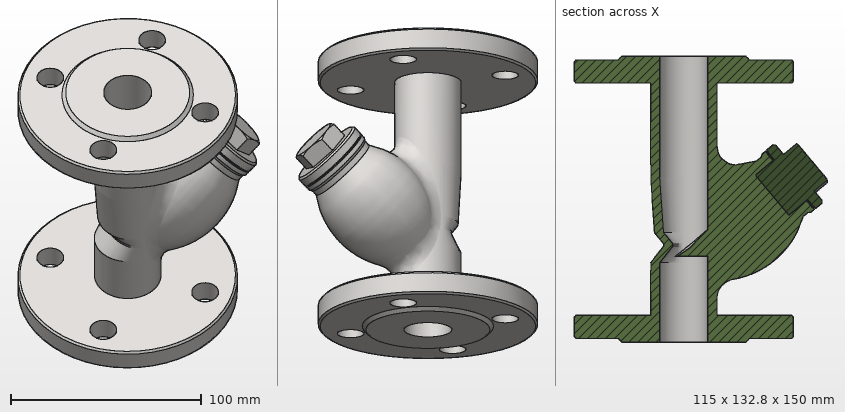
import cadquery as cq
import math

FACE_TO_FACE = 150.0
PIPE_D = 35.0
BORE_D = 25.0
FLANGE_D = 115.0
FLANGE_T = 12.3
RIM_CHAMFER = 1.0
RAISED_FACE_D = 65.0
RAISED_FACE_H = 2.0
BOLT_HOLE_D = 14.0
BOLT_CIRCLE_D = 85.0
BOLT_COUNT = 4
PIPE_R = PIPE_D / 2
WALL = (PIPE_D - BORE_D) / 2

WAIST = [(86.0, PIPE_R), (57.5, 15.5), (51.6, 10.6), (50.4, 10.6), (41.7, PIPE_R)]
WAIST_TOP = WAIST[0][0]
WAIST_BOTTOM = WAIST[-1][0]

DISH_APEX = (0, 3.2, 49.5)
DISH_HALF_ANGLE = 84.0
DISH_LENGTH = 45.0
PARTITION_BOTTOM = 45.0

BRANCH_ANGLE = 40.0
AXIS_HEIGHT = 38.2
ROOT_S, ROOT_R = 2.2, 12.0
NECK_S, NECK_R = 13.8, 19.0
BELLY_S, BELLY_R = 38.4, 27.0
COLLAR_S, COLLAR_R = 65.7, 19.0
COLLAR_END_S = 68.8
RIM_R = 20.0
RIM_S = 70.2
SEAT_S = 72.6
BRANCH_FILLET = 9.8

GASKET_T = 0.8
GASKET_D = 37.5
CAP_D = 40.0
CAP_FLANGE_T = 5.4
CAP_BEVEL = 1.0
SPIGOT_D = 27.0
SPIGOT_L = 12.0
HEX_SIDES = 6
HEX_AF = 24.0
HEX_H = 9.2
HEX_TURN = -17.7
HEX_BEVEL_H = 1.0

BRANCH_DIR = (0, math.cos(math.radians(BRANCH_ANGLE)), math.sin(math.radians(BRANCH_ANGLE)))

OUTER_END = cq.selectors.DirectionMinMaxSelector(cq.Vector(*BRANCH_DIR))


def branch_plane(distance):
    """Plane square to the branch axis, its origin `distance` along that axis."""
    origin = (0, distance * BRANCH_DIR[1], AXIS_HEIGHT + distance * BRANCH_DIR[2])
    return cq.Plane(origin=origin, xDir=(1, 0, 0), normal=BRANCH_DIR)


def z_cylinder(diameter, bottom, top):
    """Upright cylinder on the pipe axis."""
    return cq.Workplane("XY", origin=(0, 0, bottom)).circle(diameter / 2).extrude(top - bottom)


def front_half(bottom, top):
    """Block holding everything on the -Y side between two heights."""
    depth = PIPE_D
    block = cq.Workplane("XY", origin=(0, -depth / 2, bottom))
    return block.rect(2 * PIPE_D, depth).extrude(top - bottom)


def waist_loft(inset):
    """Ruled loft through the waist ellipses, all reduced by `inset`."""
    loft = cq.Workplane("XY", origin=(0, 0, WAIST[0][0]))
    previous = WAIST[0][0]
    for height, depth in WAIST:
        loft = loft.workplane(offset=height - previous).ellipse(PIPE_R - inset, depth - inset)
        previous = height
    return loft.loft(ruled=True)


def pinched(run, inset):
    """Give a round run the waist on its -Y side."""
    trimmed_off = front_half(WAIST_BOTTOM, WAIST_TOP).cut(waist_loft(inset))
    return run.cut(trimmed_off)


def make_flange():
    """End flange at the bottom, raised face downward at Z = 0."""
    flange_back = RAISED_FACE_H + FLANGE_T
    disc = z_cylinder(FLANGE_D, RAISED_FACE_H, flange_back).edges("%CIRCLE").chamfer(RIM_CHAMFER)
    raised_face = (
        cq.Workplane("XY", origin=(0, 0, RAISED_FACE_H))
        .circle(RAISED_FACE_D / 2 + RAISED_FACE_H)
        .workplane(offset=-RAISED_FACE_H)
        .circle(RAISED_FACE_D / 2)
        .loft(ruled=True)
    )
    bolt_holes = (
        cq.Workplane("XY")
        .polarArray(BOLT_CIRCLE_D / 2, 180 / BOLT_COUNT, 360, BOLT_COUNT)
        .circle(BOLT_HOLE_D / 2)
        .extrude(flange_back)
    )
    return disc.union(raised_face).cut(bolt_holes)


def make_branch():
    """Bellied branch turned about its own axis, up to the gasket seat."""
    profile = (
        cq.Workplane("XY")
        .moveTo(0, ROOT_S)
        .lineTo(ROOT_R, ROOT_S)
        .lineTo(NECK_R, NECK_S)
        .threePointArc((BELLY_R, BELLY_S), (COLLAR_R, COLLAR_S))
        .lineTo(COLLAR_R, COLLAR_END_S)
        .lineTo(RIM_R, RIM_S)
        .lineTo(RIM_R, SEAT_S)
        .lineTo(0, SEAT_S)
        .close()
    )
    upright = profile.revolve(360, (0, 0, 0), (0, 1, 0)).rotate((0, 0, 0), (1, 0, 0), 90)
    tilted = upright.rotate((0, 0, 0), (1, 0, 0), BRANCH_ANGLE - 90)
    return tilted.translate((0, 0, AXIS_HEIGHT))


def make_shell():
    """Solid pipe and branch, blended where they meet, with the waist cut in."""
    pipe = z_cylinder(PIPE_D, 0, FACE_TO_FACE)
    joined = pipe.union(make_branch())
    seam = joined.edges("%BSPLINE")
    return pinched(seam.fillet(BRANCH_FILLET), 0)


def make_partition():
    """Wall across the +Y part of the bore: dished on top, flat underneath."""
    apex = cq.Vector(*DISH_APEX)
    dish_dir = cq.Vector(0, -BRANCH_DIR[2], BRANCH_DIR[1])
    dish_r = DISH_LENGTH * math.tan(math.radians(DISH_HALF_ANGLE))
    dish = cq.Solid.makeCone(0, dish_r, DISH_LENGTH, apex, dish_dir)
    block = z_cylinder(PIPE_D, PARTITION_BOTTOM, WAIST_TOP)
    return block.cut(cq.Workplane(dish))


def make_passage():
    """Waisted bore from end to end, interrupted by the partition."""
    bore = pinched(z_cylinder(BORE_D, 0, FACE_TO_FACE), WALL)
    return bore.cut(make_partition())


def make_body():
    """Shell with both flanges, bored through and socketed for the cap spigot."""
    lower_flange = make_flange()
    upper_flange = lower_flange.mirror("XY").translate((0, 0, FACE_TO_FACE))
    socket = cq.Workplane(branch_plane(SEAT_S)).circle(SPIGOT_D / 2).extrude(-SPIGOT_L)
    body = make_shell().union(lower_flange).union(upper_flange)
    return body.cut(make_passage()).cut(socket)


def make_gasket():
    """Flat ring between the branch rim and the cap flange."""
    ring = cq.Workplane(branch_plane(SEAT_S)).circle(GASKET_D / 2).circle(SPIGOT_D / 2)
    return ring.extrude(GASKET_T)


def make_cap():
    """Screw cap: spigot in the branch socket, round flange, beveled hexagon head."""
    underside_s = SEAT_S + GASKET_T
    face_s = underside_s + CAP_FLANGE_T
    spigot = cq.Workplane(branch_plane(SEAT_S - SPIGOT_L)).circle(SPIGOT_D / 2).extrude(SPIGOT_L + GASKET_T)
    flange = (
        cq.Workplane(branch_plane(underside_s))
        .circle(CAP_D / 2)
        .extrude(CAP_FLANGE_T)
        .faces(OUTER_END)
        .chamfer(CAP_BEVEL)
    )
    corner_d = HEX_AF / math.cos(math.pi / HEX_SIDES)
    head = (
        cq.Workplane(branch_plane(face_s))
        .transformed(rotate=(0, 0, HEX_TURN))
        .polygon(HEX_SIDES, corner_d)
        .extrude(HEX_H)
    )
    bevel = (
        cq.Workplane(branch_plane(face_s))
        .circle(corner_d / 2)
        .extrude(HEX_H)
        .faces(OUTER_END)
        .chamfer(HEX_BEVEL_H, (corner_d - HEX_AF) / 2)
    )
    return spigot.union(flange).union(head.intersect(bevel))


body = make_body()
gasket = make_gasket()
cap = make_cap()

result = cq.Compound.makeCompound([part.solids().val() for part in (body, gasket, cap)])